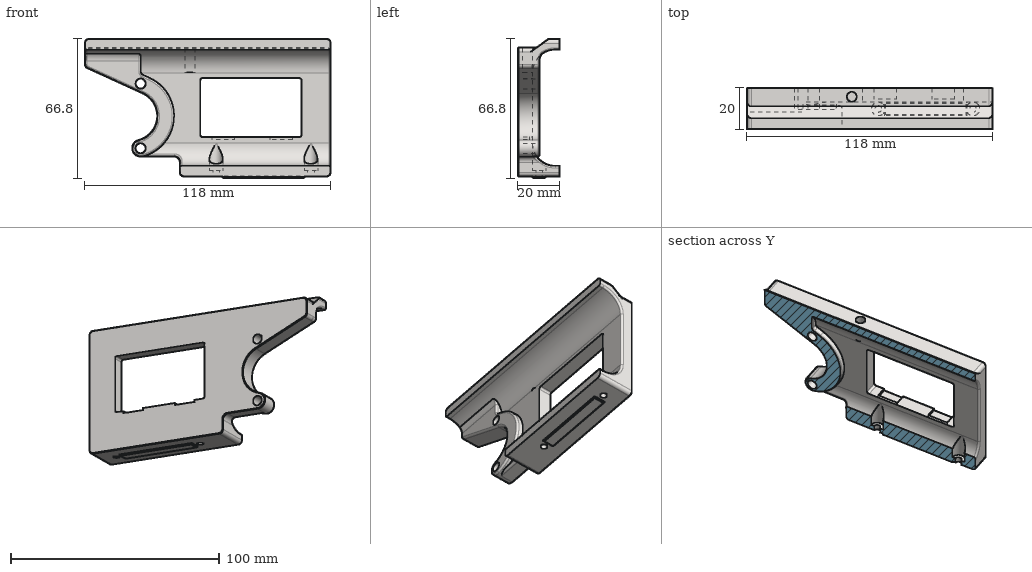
import cadquery as cq
import math

length = 118.0
depth = 20.0
height = 66.1

rail_thickness_top = 5.2
rail_thickness_bottom = 5.2
rail_tip = 2.1
wall_front = 13.1
cove_radius = wall_front - rail_tip
boss_front = 9.5
boss_cove_radius = 5.3
rail_top_depth = 5.3
slope_end = 11.0
rear_top = 62.0

corner_radius = 2.0
pin_diameter = 4.7
pin_x = 26.8
pin_low_z = 13.6
pin_high_z = 44.6
crescent_x = 22.8
crescent_inner_radius = 11.9
crescent_outer_radius = 20.1
nose_angle = math.radians(24.5)
boss_right = 26.9
boss_neck_radius = 1.5
foot_left = 45.5
foot_blend_radius = 2.7

edge_fillet = 1.0
back_chamfer = 0.4

window_left, window_right = 55.5, 104.0
window_bottom, window_top = 19.0, 47.2
window_radius = 1.1
notch_lefts = (61.0, 88.9)
notch_width = 10.6
notch_depth = 1.0
notch_lip = 1.4

screw_xs = (63.0, 108.5)
screw_head_diameter = 6.5
screw_diameter = 3.2
screw_seat_z = 3.0
screw_y = wall_front - screw_head_diameter / 2
pad_length = 39.4
pad_width = 6.3
pad_height = 0.7
pad_chamfer = 0.5

top_hole_x = 50.4
top_hole_y = 15.6
top_hole_diameter = 4.7
top_hole_depth = 11.8

crescent_z = (pin_low_z + pin_high_z) / 2
lug_radius = (crescent_outer_radius - crescent_inner_radius) / 2


def on_crescent(radius, angle):
    return crescent_x + radius * math.cos(angle), crescent_z + radius * math.sin(angle)


lug_angle = math.atan2(pin_low_z - crescent_z, pin_x - crescent_x)
lug_center = on_crescent((crescent_inner_radius + crescent_outer_radius) / 2, lug_angle)
lug_bottom = lug_center[1] - lug_radius
lug_inner = on_crescent(crescent_inner_radius, lug_angle)
lug_outer = on_crescent(crescent_outer_radius, lug_angle)
nose_tangent = on_crescent(crescent_inner_radius, math.pi / 2 - nose_angle)
nose_z = nose_tangent[1] + nose_tangent[0] * math.tan(nose_angle)
inner_middle = on_crescent(crescent_inner_radius, 0)


def side_profile(front, radius):
    """Extrude along X a C section with coves running into a wall at the given front."""
    top_face = height - rail_thickness_top
    diagonal = radius * (1 - math.sqrt(0.5))
    start = front - radius
    return (
        cq.Workplane("YZ")
        .moveTo(0, 0)
        .lineTo(0, rail_thickness_bottom)
        .lineTo(start, rail_thickness_bottom)
        .threePointArc(
            (front - diagonal, rail_thickness_bottom + diagonal),
            (front, rail_thickness_bottom + radius),
        )
        .lineTo(front, top_face - radius)
        .threePointArc((front - diagonal, top_face - diagonal), (start, top_face))
        .lineTo(0, top_face)
        .lineTo(0, height)
        .lineTo(rail_top_depth, height)
        .lineTo(slope_end, rear_top)
        .lineTo(depth, rear_top)
        .lineTo(depth, 0)
        .close()
        .extrude(length)
    )


def front_prism(outline):
    return outline.close().extrude(-depth)


def nose_and_crescent(outline):
    """From the left end, run under the raised plate and along the crescent to the lug."""
    return (
        outline.lineTo(0, nose_z)
        .lineTo(*nose_tangent)
        .threePointArc(inner_middle, lug_inner)
    )


def round_upright_corners(prism, x, z, radius):
    """Round the prism edge that runs along Y through the given point."""
    nearest = cq.selectors.NearestToPointSelector((x, depth / 2, z))
    return prism.edges("|Y").edges(nearest).fillet(radius)


def round_front_edge(solid, x, y, z):
    """Fillet the tangent chain of front edges that passes nearest the given point."""
    nearest = cq.selectors.NearestToPointSelector((x, y, z))
    return solid.edges(nearest).fillet(edge_fillet)


def main_body():
    outline = nose_and_crescent(cq.Workplane("XZ").moveTo(0, height))
    outline = (
        outline.threePointArc((lug_center[0] - lug_radius, lug_center[1]), (lug_center[0], lug_bottom))
        .lineTo(foot_left, lug_bottom)
        .lineTo(foot_left, 0)
        .lineTo(length, 0)
        .lineTo(length, height)
    )
    prism = front_prism(outline)
    for x, z in ((0, height), (0, nose_z), (foot_left, 0), (length, 0), (length, height)):
        prism = round_upright_corners(prism, x, z, corner_radius)
    prism = round_upright_corners(prism, foot_left, lug_bottom, foot_blend_radius)
    body = prism.intersect(side_profile(wall_front, cove_radius))
    body = round_front_edge(body, length, wall_front, height / 2)
    return round_front_edge(body, inner_middle[0], wall_front, crescent_z)


def raised_boss():
    shoulder = on_crescent(crescent_outer_radius, math.pi / 2 - nose_angle)
    neck_z = shoulder[1] + (shoulder[0] - boss_right) * math.tan(nose_angle)
    outline = nose_and_crescent(cq.Workplane("XZ").moveTo(0, height))
    lug_end = (
        lug_center[0] + lug_radius * math.sin(lug_angle),
        lug_center[1] - lug_radius * math.cos(lug_angle),
    )
    outline = (
        outline.threePointArc(lug_end, lug_outer)
        .threePointArc(on_crescent(crescent_outer_radius, 0), shoulder)
        .lineTo(boss_right, neck_z)
        .lineTo(boss_right, height)
    )
    prism = front_prism(outline)
    for x, z in ((0, height), (0, nose_z)):
        prism = round_upright_corners(prism, x, z, corner_radius)
    prism = round_upright_corners(prism, boss_right, neck_z, boss_neck_radius)
    below_center = cq.Workplane("XY").box(length, depth, crescent_z, centered=False)
    flat_front = below_center.intersect(below_center.translate((0, boss_front, 0)))
    section = side_profile(boss_front, boss_cove_radius).cut(below_center).union(flat_front)
    boss = prism.intersect(section)
    return round_front_edge(boss, inner_middle[0], boss_front, crescent_z)


def rear_corner_cutter(x_end, direction):
    """Waste outside the rounded end of the low rear top, bounded by the sloped step."""
    low = rear_top - corner_radius
    slope = (slope_end - rail_top_depth) / (height - rear_top)
    y_low = slope_end + corner_radius * slope
    wedge = (
        cq.Workplane("YZ")
        .polyline([(slope_end, rear_top), (y_low, low), (depth, low), (depth, rear_top)])
        .close()
        .extrude(direction * corner_radius)
    )
    round_end = (
        cq.Workplane("XZ")
        .center(direction * corner_radius, low)
        .circle(corner_radius)
        .extrude(-depth)
    )
    return wedge.cut(round_end).translate((x_end, 0, 0))


def window():
    width = window_right - window_left
    opening = (
        cq.Workplane("XY")
        .box(width, depth, window_top - window_bottom, centered=False)
        .edges("|Y")
        .fillet(window_radius)
        .translate((window_left, 0, window_bottom))
    )
    for left in notch_lefts:
        notch = cq.Workplane("XY").box(notch_width, depth, 2 * notch_depth, centered=False)
        opening = opening.union(
            notch.translate((left, wall_front + notch_lip, window_bottom - notch_depth))
        )
    return opening


def vertical_hole(x, y, z, diameter, rise):
    return cq.Workplane("XY").center(x, y).circle(diameter / 2).extrude(rise).translate((0, 0, z))


def pad():
    middle = sum(screw_xs) / 2
    return (
        cq.Workplane("XY")
        .box(pad_length, pad_width, pad_height, centered=(True, True, False))
        .faces("<Z")
        .edges()
        .chamfer(pad_chamfer)
        .translate((middle, screw_y, -pad_height))
    )


def screw_hole(x):
    """Counterbored hole whose head bore touches the wall and leaves through the lower cove."""
    cove_top = rail_thickness_bottom + cove_radius
    head = vertical_hole(x, screw_y, screw_seat_z, screw_head_diameter, cove_top - screw_seat_z)
    shank = vertical_hole(x, screw_y, 0, screw_diameter, screw_seat_z)
    return head.union(shank)


def pin_hole(z):
    return cq.Workplane("XZ").center(pin_x, z).circle(pin_diameter / 2).extrude(-depth)


def top_hole():
    floor = rear_top - top_hole_depth
    return vertical_hole(top_hole_x, top_hole_y, floor, top_hole_diameter, top_hole_depth)


result = main_body().union(raised_boss())
result = result.cut(rear_corner_cutter(0, 1)).cut(rear_corner_cutter(length, -1))
result = result.faces(">Y").edges().chamfer(back_chamfer)
result = result.cut(window()).union(pad()).cut(top_hole())
for screw_x in screw_xs:
    result = result.cut(screw_hole(screw_x))
for pin_z in (pin_low_z, pin_high_z):
    result = result.cut(pin_hole(pin_z))